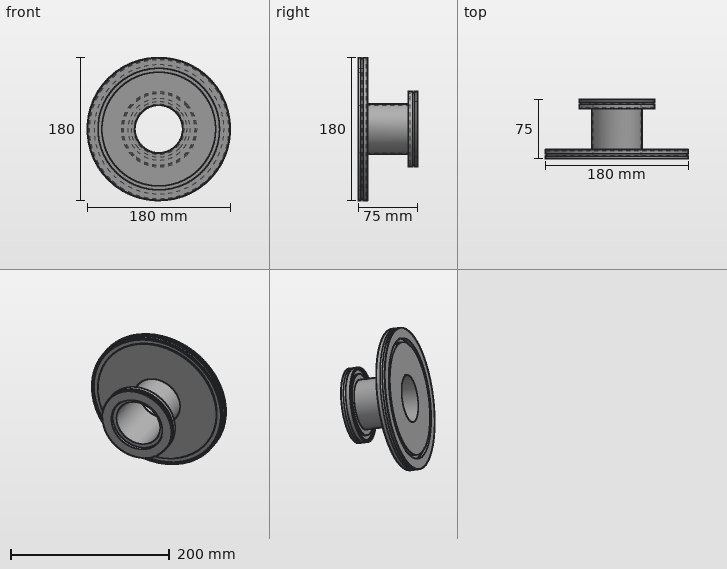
import cadquery as cq

total_length = 75.0
bore_diameter = 60.0
tube_diameter = 63.5

flange_thickness = 12.0
rim_groove_radius = 1.5
rim_groove_offset = 5.0
clamp_groove_depth = 2.0
seal_recess_depth = 4.6

large_diameter = 180.0
large_clamp_groove_inner = 163.0
large_clamp_groove_outer = 175.0
large_seal_groove_inner = 143.2
large_seal_groove_outer = 153.0
large_edge_chamfer = 0.5

small_diameter = 95.0
small_clamp_groove_inner = 78.0
small_clamp_groove_outer = 90.0
small_seal_recess_diameter = 70.0

front_face = -total_length / 2
back_face = total_length / 2
large_inner_face = front_face + flange_thickness
small_inner_face = back_face - flange_thickness


def disc(diameter, y_start, y_end):
    """Solid cylinder about the Y axis between two Y positions."""
    plane = cq.Plane(origin=(0, y_start, 0), xDir=(1, 0, 0), normal=(0, 1, 0))
    return cq.Workplane(plane).circle(diameter / 2).extrude(y_end - y_start)


def ring(inner_diameter, outer_diameter, y_start, y_end):
    """Hollow cylinder about the Y axis between two Y positions."""
    return disc(outer_diameter, y_start, y_end).cut(disc(inner_diameter, y_start, y_end))


def rim_groove(flange_diameter, y_centre):
    """Torus that cuts a half-round groove into a flange rim."""
    section = cq.Workplane("XY").center(flange_diameter / 2, y_centre).circle(rim_groove_radius)
    axis_x = -flange_diameter / 2
    return section.revolve(360, (axis_x, 0, 0), (axis_x, 1, 0))


def large_flange():
    body = disc(large_diameter, front_face, large_inner_face)
    body = body.edges().chamfer(large_edge_chamfer)
    body = body.cut(rim_groove(large_diameter, front_face + rim_groove_offset))
    body = body.cut(
        ring(large_seal_groove_inner, large_seal_groove_outer, front_face, front_face + seal_recess_depth)
    )
    return body.cut(
        ring(
            large_clamp_groove_inner,
            large_clamp_groove_outer,
            large_inner_face - clamp_groove_depth,
            large_inner_face,
        )
    )


def small_flange():
    body = disc(small_diameter, small_inner_face, back_face)
    body = body.cut(rim_groove(small_diameter, back_face - rim_groove_offset))
    body = body.cut(disc(small_seal_recess_diameter, back_face - seal_recess_depth, back_face))
    return body.cut(
        ring(
            small_clamp_groove_inner,
            small_clamp_groove_outer,
            small_inner_face,
            small_inner_face + clamp_groove_depth,
        )
    )


tube = disc(tube_diameter, large_inner_face, small_inner_face)
bore = disc(bore_diameter, front_face, back_face)

result = large_flange().union(tube).union(small_flange()).cut(bore)